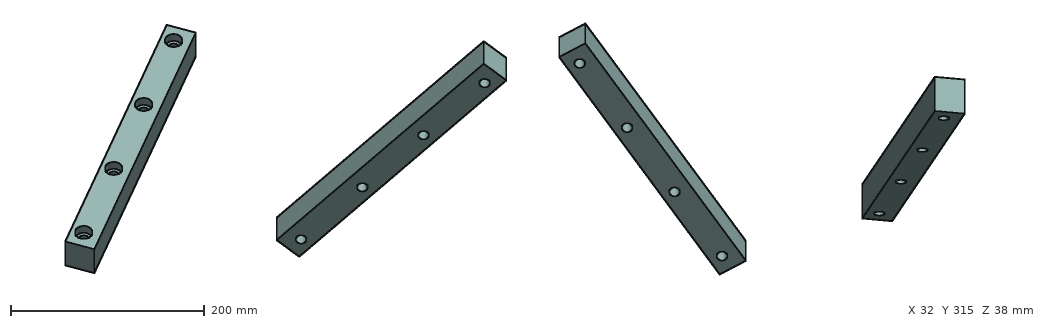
import cadquery as cq

width = 32.0
length = 315.0
height = 38.0

hole_count = 4
hole_pitch = 93.0
hole_from_left_side = 14.0
hole_diameter = 11.0
counterbore_diameter = 18.0
counterbore_depth = 11.0


def make_bar():
    """Plain rectangular bar centred on the origin in X and Y, standing on Z = 0."""
    return cq.Workplane("XY").box(width, length, height, centered=(True, True, False))


def add_screw_holes(bar):
    """Counterbored through holes, evenly spaced about the middle of the bar."""
    hole_x = hole_from_left_side - width / 2
    first_hole_y = -hole_pitch * (hole_count - 1) / 2
    positions = [(hole_x, first_hole_y + i * hole_pitch) for i in range(hole_count)]
    return (
        bar.faces(">Z")
        .workplane(origin=(0, 0, height))
        .pushPoints(positions)
        .cboreHole(hole_diameter, counterbore_diameter, counterbore_depth)
    )


result = add_screw_holes(make_bar())